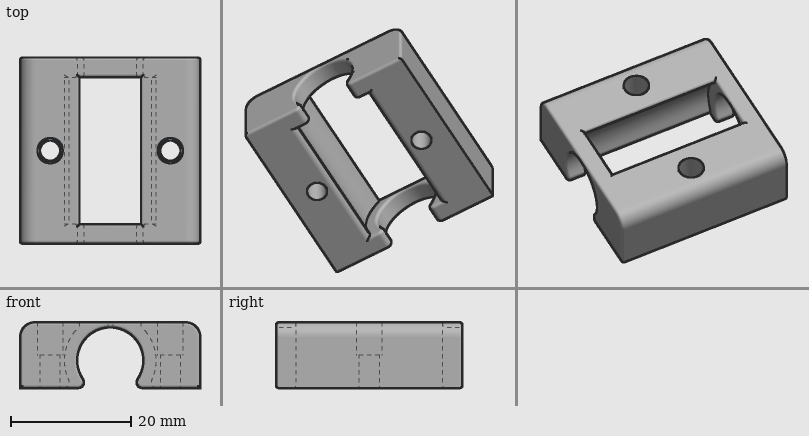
import cadquery as cq

WIDTH = 30.0
LENGTH = 31.0
HEIGHT = 11.0
SHOULDER_RADIUS = 2.5
EDGE_ROUND = 0.5

AXIS_HEIGHT = 4.62
BORE_RADIUS = 5.5
SEAT_RADIUS = 7.63
SEAT_LENGTH = 24.4
LIP_RADIUS = 1.0

HOLE_SPACING = 20.0
HOLE_DIAMETER = 3.35
COUNTERBORE_DIAMETER = 4.22
COUNTERBORE_DEPTH = HEIGHT / 2

WALL = (LENGTH - SEAT_LENGTH) / 2
EXTRA = 6.2


def block(length, bottom, top):
    """Full-width box centred on Y, between two heights."""
    return cq.Workplane("XY").box(WIDTH, length, top - bottom).translate((0, 0, (bottom + top) / 2))


def channel(radius, length):
    """Lengthwise cylinder around the bearing axis."""
    return (
        cq.Workplane("XZ", origin=(0, 0, AXIS_HEIGHT))
        .circle(radius)
        .extrude(length / 2, both=True)
    )


def round_shoulders(body):
    return body.edges("|Y and >Z").fillet(SHOULDER_RADIUS)


def opening_box(radius, height):
    """Selector for the edges where a channel breaks through a flat face at the given height."""
    reach = 0.3
    return cq.selectors.BoxSelector(
        (-radius, -LENGTH, height - reach),
        (radius, LENGTH, height + reach),
    )


def seat_section():
    """Middle length of the block, reaching into the end walls to meet their rounds."""
    length = SEAT_LENGTH + 2 * EDGE_ROUND
    body = round_shoulders(block(length, 0, HEIGHT)).cut(channel(SEAT_RADIUS, 2 * LENGTH))
    body = body.edges("|Y").edges(opening_box(SEAT_RADIUS, 0)).fillet(LIP_RADIUS)
    return body.edges("|Y").edges(opening_box(SEAT_RADIUS, HEIGHT)).fillet(EDGE_ROUND)


def end_wall():
    """Front end wall, made at the origin and moved into place.

    The bore rounds overlap the top edge rounds, so each set is made on
    its own oversized solid and the two solids are intersected.
    """
    bored = block(WALL, 0, HEIGHT + EXTRA).cut(channel(BORE_RADIUS, LENGTH))
    bored = bored.edges("|Y").edges(opening_box(BORE_RADIUS, 0)).fillet(LIP_RADIUS)
    bored = bored.faces("<Y or >Y").edges("%CIRCLE").fillet(EDGE_ROUND)

    outline = round_shoulders(block(WALL, -EXTRA, HEIGHT))
    outline = outline.faces("<Y").edges("not <Z").fillet(EDGE_ROUND)
    outline = outline.faces(">Y").edges(">Z").fillet(EDGE_ROUND)
    return bored.intersect(outline).translate((0, (WALL - LENGTH) / 2, 0))


def screw_holes(body):
    return (
        body.faces(">Z")
        .workplane(origin=(0, 0, HEIGHT))
        .pushPoints([(-HOLE_SPACING / 2, 0), (HOLE_SPACING / 2, 0)])
        .cboreHole(HOLE_DIAMETER, COUNTERBORE_DIAMETER, COUNTERBORE_DEPTH)
    )


front_wall = end_wall()
back_wall = front_wall.mirror("XZ")
result = screw_holes(seat_section().union(front_wall).union(back_wall).clean())